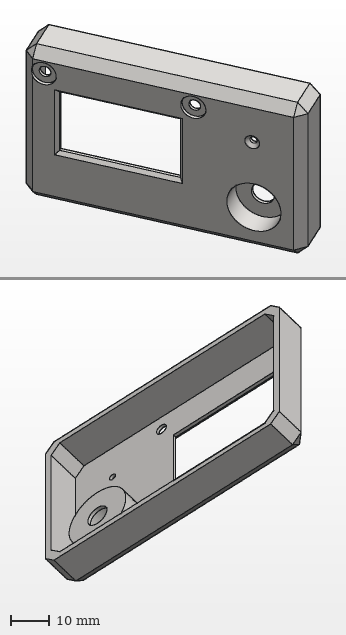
import cadquery as cq

width = 79.0
depth = 12.0
height = 49.0
bevel = 2.9
wall = 2.0
front_thickness = 2.0

window_x = -12.5
window_z = 2.5
window_width = 33.8
window_height = 19.0
window_flare = 1.0
window_flare_depth = 1.0

screw_xs = (-33.5, 8.45)
screw_z = 17.5
screw_diameter = 3.2
screw_head_diameter = 7.0
screw_head_depth = 1.0

pinhole_x = 25.0
pinhole_z = 10.5
pinhole_diameter = 2.0
pinhole_mouth_diameter = 4.1
pinhole_cone_depth = 1.0

knob_x = 25.4
knob_z = -10.5
knob_diameter = 15.2
knob_depth = 6.6
shaft_diameter = 6.4
cup_wall = 2.0
cup_floor = 1.0

front_y = -depth / 2


def front_plane(x, z, y=front_y):
    """Workplane at (x, y, z) whose normal points into the part, along +Y."""
    return cq.Workplane(cq.Plane(origin=(x, y, z), xDir=(1, 0, 0), normal=(0, 1, 0)))


def cylinder(x, z, diameter, length, y=front_y):
    return front_plane(x, z, y).circle(diameter / 2).extrude(length)


def cone(x, z, front_diameter, back_diameter, length):
    mouth = front_plane(x, z).circle(front_diameter / 2)
    return mouth.workplane(offset=length).circle(back_diameter / 2).loft(combine=True)


def make_shell():
    """Box with bevelled front and corner edges, hollowed from the back."""
    body = front_plane(0, 0).rect(width, height).extrude(depth)
    body = body.edges("|Y or <Y").chamfer(bevel)
    cavity_depth = depth - front_thickness
    cavity = front_plane(0, 0, front_y + front_thickness)
    cavity = cavity.rect(width - 2 * wall, height - 2 * wall).extrude(cavity_depth)
    return body.cut(cavity.edges("|Y").chamfer(bevel))


def make_window():
    """Rectangular opening with four sloping front faces."""
    opening = front_plane(window_x, window_z).rect(window_width, window_height).extrude(front_thickness)
    mouth_width = window_width + 2 * window_flare
    mouth_height = window_height + 2 * window_flare
    mouth = front_plane(window_x, window_z).rect(mouth_width, mouth_height)
    flare = mouth.workplane(offset=window_flare_depth).rect(window_width, window_height).loft(combine=True)
    return opening.union(flare)


result = make_shell()

cup_diameter = knob_diameter + 2 * cup_wall
cup_length = knob_depth + cup_floor
result = result.union(cylinder(knob_x, knob_z, cup_diameter, cup_length))
result = result.cut(cylinder(knob_x, knob_z, knob_diameter, knob_depth))
result = result.cut(cylinder(knob_x, knob_z, shaft_diameter, cup_length))

result = result.cut(make_window())

for screw_x in screw_xs:
    result = result.cut(cylinder(screw_x, screw_z, screw_diameter, front_thickness))
    result = result.cut(cylinder(screw_x, screw_z, screw_head_diameter, screw_head_depth))

result = result.cut(cylinder(pinhole_x, pinhole_z, pinhole_diameter, front_thickness))
result = result.cut(cone(pinhole_x, pinhole_z, pinhole_mouth_diameter, pinhole_diameter, pinhole_cone_depth))